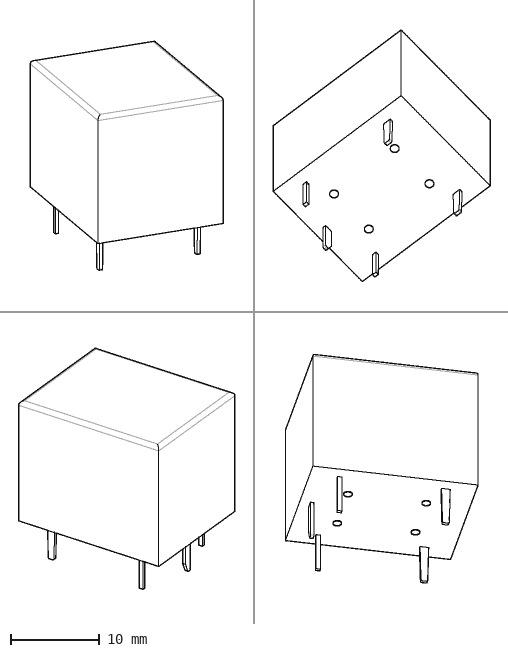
import cadquery as cq

length = 19.0
width = 15.4
total_height = 20.0
pin_length = 4.6
housing_height = total_height - pin_length
top_edge_radius = 0.5

foot_diameter = 1.0
foot_height = 0.1
foot_x = 4.5
foot_y = 3.0

pin_thickness = 0.4
row_x = 6.1
row_y = 6.0
narrow_pin_width = 0.52
blade_width = 1.0
tapered_tip_width = 0.78
tapered_tip_radius = 0.18
center_pin_x = -8.1
bevel_width = 0.5
bevel_height = 1.2
bevel_tip_radius = 0.2


def make_housing():
    box = cq.Workplane("XY").box(length, width, housing_height, centered=(True, True, False))
    return box.faces(">Z").edges().fillet(top_edge_radius)


def make_feet():
    feet = cq.Workplane("XY").rect(2 * foot_x, 2 * foot_y, forConstruction=True).vertices()
    return feet.circle(foot_diameter / 2).extrude(-foot_height)


def make_narrow_pin():
    return cq.Workplane("XY").rect(narrow_pin_width, pin_thickness).extrude(-pin_length)


def make_tapered_pin():
    """Flat blade across X that narrows evenly towards a rounded tip."""
    outline = [
        (-blade_width / 2, 0),
        (blade_width / 2, 0),
        (tapered_tip_width / 2, -pin_length),
        (-tapered_tip_width / 2, -pin_length),
    ]
    blade = cq.Workplane("XZ").polyline(outline).close().extrude(pin_thickness / 2, both=True)
    return blade.faces("<Z").edges("|Y").fillet(tapered_tip_radius)


def make_center_pin():
    """Flat blade across Y, bevelled on its +Y edge near the tip."""
    half_width = blade_width / 2
    outline = [
        (-half_width, 0),
        (half_width, 0),
        (half_width, bevel_height - pin_length),
        (half_width - bevel_width, -pin_length),
        (-half_width, -pin_length),
    ]
    blade = cq.Workplane("YZ").polyline(outline).close().extrude(pin_thickness / 2, both=True)
    return blade.faces("<Z").edges("|X").fillet(bevel_tip_radius)


result = make_housing().union(make_feet())
for pin_y in (-row_y, row_y):
    result = result.union(make_narrow_pin().translate((-row_x, pin_y, 0)))
    result = result.union(make_tapered_pin().translate((row_x, pin_y, 0)))
result = result.union(make_center_pin().translate((center_pin_x, 0, 0)))